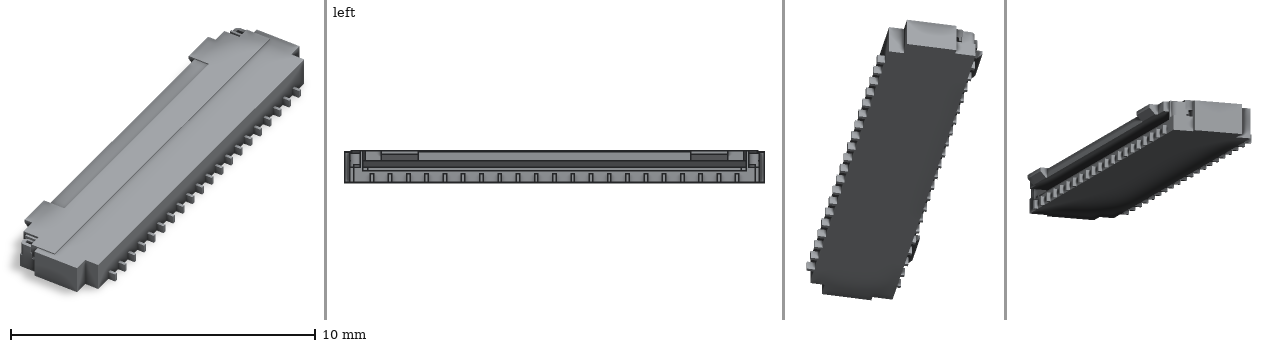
import cadquery as cq


LENGTH = 13.8
BODY_HEIGHT = 1.01
EAR_FRONT_X = 0.68
EAR_REAR_X = 2.33
REAR_X = 2.83
REAR_HALF_Y = 6.39
FRONT_HALF_Y = 6.72
FLOOR_Z = 0.5

SLOT_HALF_Y = 6.3
MOUTH_Z = 0.39
MOUTH_DEPTH = 0.11
MOUTH_END_DEPTH = 0.07
MOUTH_DEEP_HALF_Y = 6.14

COVER_BOTTOM = 0.72
COVER_TOP = 1.05
COVER_REAR_X = 1.32
COVER_HALF_Y = 6.68
SHOULDER_X = -0.17
SHOULDER_HALF_Y = 6.22
TIP_X = -0.45
TIP_OUTER_Y = 5.69
TIP_INNER_Y = 4.48
TIP_CHAMFER_X = 0.2
TIP_CHAMFER_Z = 0.21
LEDGE_FRONT_X = -0.23
LEDGE_REAR_X = 0.33
HEEL_REAR_X = 0.54
HEEL_BOTTOM = 0.58

NAIL_BACK_X = 0.41
NAIL_ARM_BACK_X = 0.45
NAIL_INNER_Y = REAR_HALF_Y
NAIL_TOP = 0.97
NAIL_SEAT_Z = 0.58
NAIL_ROUND_DEPTH = 0.15
NAIL_THICK = 0.12
NAIL_INNER_WALL = 0.08
NAIL_MID_Y = (NAIL_INNER_Y + FRONT_HALF_Y) / 2
NAIL_LEG_Y = FRONT_HALF_Y - NAIL_THICK

TAIL_WIDTH = 0.11
TAIL_HEIGHT = 0.29
FRONT_TAIL_COUNT = 21
FRONT_TAIL_SPAN = 12.0
TAIL_PITCH = FRONT_TAIL_SPAN / (FRONT_TAIL_COUNT - 1)
FRONT_TAIL_X = -0.12
REAR_TAIL_X = 3.09


def block(x0, x1, y0, y1, z0, z1):
    """Box between two opposite corners."""
    size = (x1 - x0, y1 - y0, z1 - z0)
    return cq.Workplane("XY").box(*size, centered=False).translate((x0, y0, z0))


def centred_block(x0, x1, half_y, z0, z1):
    """Box spread evenly about Y = 0."""
    return block(x0, x1, -half_y, half_y, z0, z1)


def both_ends(shape):
    """The shape at the +Y end together with its mirror image at the -Y end."""
    return shape.union(shape.mirror("XZ"))


def nail_column(z0, z1):
    """Column with the rounded front of a corner nail, at the +Y end."""
    return (
        cq.Workplane("XY", origin=(0, 0, z0))
        .moveTo(NAIL_BACK_X, NAIL_INNER_Y)
        .lineTo(NAIL_ROUND_DEPTH, NAIL_INNER_Y)
        .threePointArc((0, NAIL_MID_Y), (NAIL_ROUND_DEPTH, FRONT_HALF_Y))
        .lineTo(NAIL_BACK_X, FRONT_HALF_Y)
        .close()
        .extrude(z1 - z0)
    )


def make_nail():
    """Corner nail at the +Y end: a U-shaped head on an outer leg that reaches the underside."""
    head = nail_column(NAIL_SEAT_Z, NAIL_TOP)
    fold_gap = block(
        NAIL_THICK, NAIL_BACK_X, NAIL_INNER_Y + NAIL_INNER_WALL, NAIL_LEG_Y, NAIL_SEAT_Z, NAIL_TOP
    )
    outer_side = block(0, NAIL_BACK_X, NAIL_LEG_Y, FRONT_HALF_Y, FLOOR_Z, NAIL_SEAT_Z)
    neck = nail_column(FLOOR_Z, NAIL_SEAT_Z).intersect(outer_side)
    arm_end = block(NAIL_BACK_X, NAIL_ARM_BACK_X, NAIL_LEG_Y, FRONT_HALF_Y, FLOOR_Z, COVER_BOTTOM)
    leg = block(0, EAR_FRONT_X, NAIL_LEG_Y, FRONT_HALF_Y, 0, FLOOR_Z)
    return head.cut(fold_gap).union(neck).union(arm_end).union(leg)


def make_mouth():
    """Stepped recess in front of the slot floor, shallower at its two ends."""
    middle = centred_block(0, MOUTH_DEPTH, MOUTH_DEEP_HALF_Y, MOUTH_Z, FLOOR_Z)
    full_length = centred_block(0, MOUTH_END_DEPTH, SLOT_HALF_Y, MOUTH_Z, FLOOR_Z)
    return middle.union(full_length)


def make_tip():
    """Cover tip at the +Y end, chamfered along its lower front edge."""
    return (
        cq.Workplane("XZ", origin=(0, TIP_OUTER_Y, 0))
        .moveTo(TIP_X, COVER_TOP)
        .lineTo(SHOULDER_X, COVER_TOP)
        .lineTo(SHOULDER_X, COVER_BOTTOM)
        .lineTo(TIP_X + TIP_CHAMFER_X, COVER_BOTTOM)
        .lineTo(TIP_X, COVER_BOTTOM + TIP_CHAMFER_Z)
        .close()
        .extrude(TIP_OUTER_Y - TIP_INNER_Y)
    )


def make_cover():
    """Plate over the slot, with two front tips, a lowered strip between them and end heels."""
    front = centred_block(SHOULDER_X, NAIL_BACK_X, SHOULDER_HALF_Y, COVER_BOTTOM, COVER_TOP)
    rear = centred_block(NAIL_BACK_X, COVER_REAR_X, COVER_HALF_Y, COVER_BOTTOM, COVER_TOP)
    strip = centred_block(LEDGE_FRONT_X, LEDGE_REAR_X, TIP_INNER_Y, COVER_BOTTOM, BODY_HEIGHT)
    strip_relief = centred_block(SHOULDER_X, LEDGE_REAR_X, TIP_INNER_Y, BODY_HEIGHT, COVER_TOP)
    heel = block(
        NAIL_ARM_BACK_X, HEEL_REAR_X, NAIL_INNER_Y, COVER_HALF_Y, HEEL_BOTTOM, COVER_BOTTOM
    )
    cover = front.union(rear).cut(strip_relief).union(strip)
    return cover.union(both_ends(make_tip())).union(both_ends(heel))


def add_tails(housing, count, x0, x1):
    """Row of terminal tails centred on Y = 0."""
    for index in range(count):
        y = (index - (count - 1) / 2) * TAIL_PITCH
        tail = block(x0, x1, y - TAIL_WIDTH / 2, y + TAIL_WIDTH / 2, 0, TAIL_HEIGHT)
        housing = housing.union(tail)
    return housing


def make_housing():
    """Housing with cover and terminal tails, leaving room for the corner nails."""
    ears = centred_block(EAR_FRONT_X, EAR_REAR_X, LENGTH / 2, 0, BODY_HEIGHT)
    rear = centred_block(EAR_REAR_X, REAR_X, REAR_HALF_Y, 0, BODY_HEIGHT)
    floor = centred_block(0, EAR_FRONT_X, NAIL_LEG_Y, 0, FLOOR_Z)
    side_wall = block(0, EAR_FRONT_X, SLOT_HALF_Y, NAIL_INNER_Y, FLOOR_Z, COVER_TOP)
    below_head = block(0, NAIL_BACK_X, NAIL_INNER_Y, NAIL_LEG_Y, FLOOR_Z, NAIL_SEAT_Z)
    nail_seat = nail_column(FLOOR_Z, NAIL_SEAT_Z).intersect(below_head)

    housing = ears.union(rear).union(floor).cut(make_mouth())
    housing = housing.union(both_ends(side_wall)).union(both_ends(nail_seat))
    housing = housing.union(make_cover())
    housing = add_tails(housing, FRONT_TAIL_COUNT, FRONT_TAIL_X, 0)
    return add_tails(housing, FRONT_TAIL_COUNT - 1, REAR_X, REAR_TAIL_X)


housing = make_housing()

nails = []
for at_far_end in (True, False):
    nail = make_nail()
    if not at_far_end:
        nail = nail.mirror("XZ")
    nails.append(nail)

result = cq.Compound.makeCompound([housing.solids().val(), *[nail.solids().val() for nail in nails]])